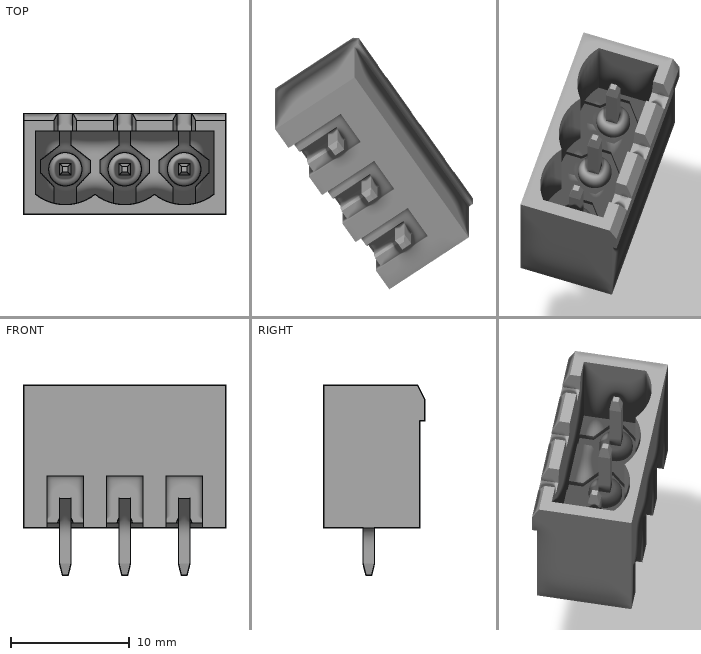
import cadquery as cq

PIN_COUNT = 3
PITCH = 5.0
PIN_Y = 3.79
PIN_WIDTH = 0.99
PIN_TOP_Z = 10.8
PIN_BOTTOM_Z = -4.0
TIP_WIDTH = 0.5
TIP_LENGTH = 1.0

HOUSING_LENGTH = 17
HOUSING_HEIGHT = 12.0
OVERALL_DEPTH = 8.5
LIP_OVERHANG = 0.4
LIP_HEIGHT = 3.0
LIP_CHAMFER_DEPTH = 0.6
LIP_CHAMFER_HEIGHT = 1.2

CAVITY_LENGTH = PIN_COUNT * PITCH
CAVITY_REAR_Y = 7.0
CAVITY_FRONT_Y = 0.82
CUSP_Y = 1.68
FLOOR_Z = 4.5

RECESS_DEPTH = 0.5
RECESS_WIDTH = 4.2
RECESS_REAR_SLOT_WIDTH = PIN_WIDTH
RECESS_FRONT_SLOT_WIDTH = 1.9
RECESS_REAR_TAPER_Y = 5.8
RECESS_REAR_CORNER_Y = 4.54
RECESS_FRONT_CORNER_Y = 3.52
RECESS_FRONT_TAPER_Y = 2.31

BOSS_DIAMETER = 2.8
BOSS_TOP_DIAMETER = 1.62
BOSS_HEIGHT = 1.0

NOTCH_TOP_WIDTH = 1.9
NOTCH_BOTTOM_WIDTH = 1.19
NOTCH_DEPTH = 1.4

POCKET_WIDTH = 3.05
POCKET_HEIGHT = 4.39
POCKET_DEPTH = 0.5
UNDERCUT_HEIGHT = 0.4
SLOT_TOP_Z = 2.48
FLARE_TOP_Z = 0.83
FLARE_WIDTH = 1.35

PIN_REAR_Y = PIN_Y + PIN_WIDTH / 2
UNDERCUT_REAR_Y = PIN_Y + POCKET_WIDTH / 2
RECESS_FLOOR_Z = FLOOR_Z - RECESS_DEPTH
PIN_XS = [(i - (PIN_COUNT - 1) / 2) * PITCH for i in range(PIN_COUNT)]


def box(width, y_range, z_range, x_center=0):
    """Box of a given X width, centred on x_center, spanning the Y and Z ranges."""
    y_min, y_max = y_range
    z_min, z_max = z_range
    block = cq.Workplane("XY").box(width, y_max - y_min, z_max - z_min, centered=(True, False, False))
    return block.translate((x_center, y_min, z_min))


def extrude_along_y(points, y_range):
    """Prism whose XZ outline runs from the first to the second Y of the range."""
    y_min, y_max = y_range
    outline = cq.Workplane("XZ", origin=(0, y_min, 0)).polyline(points).close()
    return outline.extrude(y_min - y_max)


def make_block():
    """Outer block: a chamfered lip overhangs the rear face along the top."""
    body_rear_y = OVERALL_DEPTH - LIP_OVERHANG
    lip_bottom_z = HOUSING_HEIGHT - LIP_HEIGHT
    profile = [
        (0, 0),
        (body_rear_y, 0),
        (body_rear_y, lip_bottom_z),
        (OVERALL_DEPTH, lip_bottom_z),
        (OVERALL_DEPTH, HOUSING_HEIGHT - LIP_CHAMFER_HEIGHT),
        (OVERALL_DEPTH - LIP_CHAMFER_DEPTH, HOUSING_HEIGHT),
        (0, HOUSING_HEIGHT),
    ]
    return cq.Workplane("YZ").polyline(profile).close().extrude(HOUSING_LENGTH / 2, both=True)


def make_cavity(bottom_z):
    """Space inside the walls, from bottom_z to the top, with one front arc per pin."""
    half_length = CAVITY_LENGTH / 2
    outline = (
        cq.Workplane("XY", origin=(0, 0, bottom_z))
        .moveTo(half_length, CAVITY_REAR_Y)
        .lineTo(-half_length, CAVITY_REAR_Y)
        .lineTo(-half_length, CUSP_Y)
    )
    for x in PIN_XS:
        outline = outline.threePointArc((x, CAVITY_FRONT_Y), (x + PITCH / 2, CUSP_Y))
    return outline.close().extrude(HOUSING_HEIGHT - bottom_z)


def make_floor_recess(x):
    """Octagonal floor recess with channels running to the rear and front cavity walls."""
    half_width = RECESS_WIDTH / 2
    half_rear = RECESS_REAR_SLOT_WIDTH / 2
    half_front = RECESS_FRONT_SLOT_WIDTH / 2
    right_side = [
        (half_front, 0),
        (half_front, RECESS_FRONT_TAPER_Y),
        (half_width, RECESS_FRONT_CORNER_Y),
        (half_width, RECESS_REAR_CORNER_Y),
        (half_rear, RECESS_REAR_TAPER_Y),
        (half_rear, CAVITY_REAR_Y),
    ]
    left_side = [(-px, py) for px, py in reversed(right_side)]
    outline = cq.Workplane("XY", origin=(x, 0, RECESS_FLOOR_Z)).polyline(right_side + left_side).close()
    return outline.extrude(RECESS_DEPTH).intersect(make_cavity(RECESS_FLOOR_Z))


def make_boss(x):
    """Round boss on the recess floor with a rounded rim."""
    rim_radius = (BOSS_DIAMETER - BOSS_TOP_DIAMETER) / 2
    base = cq.Workplane("XY", origin=(x, PIN_Y, RECESS_FLOOR_Z))
    boss = base.circle(BOSS_DIAMETER / 2).extrude(BOSS_HEIGHT)
    return boss.faces(">Z").edges().fillet(rim_radius)


def make_notch(x):
    """Tapered notch through the top of the rear wall."""
    bottom_z = HOUSING_HEIGHT - NOTCH_DEPTH
    points = [
        (x - NOTCH_BOTTOM_WIDTH / 2, bottom_z),
        (x + NOTCH_BOTTOM_WIDTH / 2, bottom_z),
        (x + NOTCH_TOP_WIDTH / 2, HOUSING_HEIGHT),
        (x - NOTCH_TOP_WIDTH / 2, HOUSING_HEIGHT),
    ]
    return extrude_along_y(points, (CAVITY_REAR_Y, OVERALL_DEPTH))


def make_front_opening(x):
    """Front pocket, the undercut below it, and the flared slot leading back to the pin."""
    pocket = box(POCKET_WIDTH, (0, POCKET_DEPTH), (0, POCKET_HEIGHT), x)
    undercut = box(POCKET_WIDTH, (0, UNDERCUT_REAR_Y), (0, UNDERCUT_HEIGHT), x)
    half_slot = PIN_WIDTH / 2
    half_flare = FLARE_WIDTH / 2
    slot_points = [
        (x - half_flare, UNDERCUT_HEIGHT),
        (x + half_flare, UNDERCUT_HEIGHT),
        (x + half_slot, FLARE_TOP_Z),
        (x + half_slot, SLOT_TOP_Z),
        (x - half_slot, SLOT_TOP_Z),
        (x - half_slot, FLARE_TOP_Z),
    ]
    slot = extrude_along_y(slot_points, (POCKET_DEPTH, PIN_REAR_Y))
    return pocket.union(undercut).union(slot)


def make_pin_hole(x):
    """Square hole that fits the pin through the floor and boss."""
    return box(PIN_WIDTH, (PIN_Y - PIN_WIDTH / 2, PIN_REAR_Y), (0, HOUSING_HEIGHT), x)


def make_housing():
    """Open-topped housing with a station for every pin."""
    body = make_block().cut(make_cavity(FLOOR_Z))
    for x in PIN_XS:
        body = body.cut(make_floor_recess(x)).union(make_boss(x))
        body = body.cut(make_notch(x)).cut(make_front_opening(x)).cut(make_pin_hole(x))
    return body


def make_tip(end_z, direction):
    """Square taper of a pin, narrowing in the given Z direction and finishing at end_z."""
    return (
        cq.Workplane("XY", origin=(0, 0, end_z - direction * TIP_LENGTH))
        .rect(PIN_WIDTH, PIN_WIDTH)
        .workplane(offset=direction * TIP_LENGTH)
        .rect(TIP_WIDTH, TIP_WIDTH)
        .loft()
    )


def make_pin(x):
    """Square contact pin with both ends tapered."""
    shank_length = PIN_TOP_Z - PIN_BOTTOM_Z - 2 * TIP_LENGTH
    shank = (
        cq.Workplane("XY", origin=(0, 0, PIN_BOTTOM_Z + TIP_LENGTH))
        .rect(PIN_WIDTH, PIN_WIDTH)
        .extrude(shank_length)
    )
    pin = shank.union(make_tip(PIN_TOP_Z, 1)).union(make_tip(PIN_BOTTOM_Z, -1))
    return pin.translate((x, PIN_Y, 0))


housing = make_housing()
pins = [make_pin(x) for x in PIN_XS]

result = cq.Compound.makeCompound([housing.solids().val(), *[pin.solids().val() for pin in pins]])